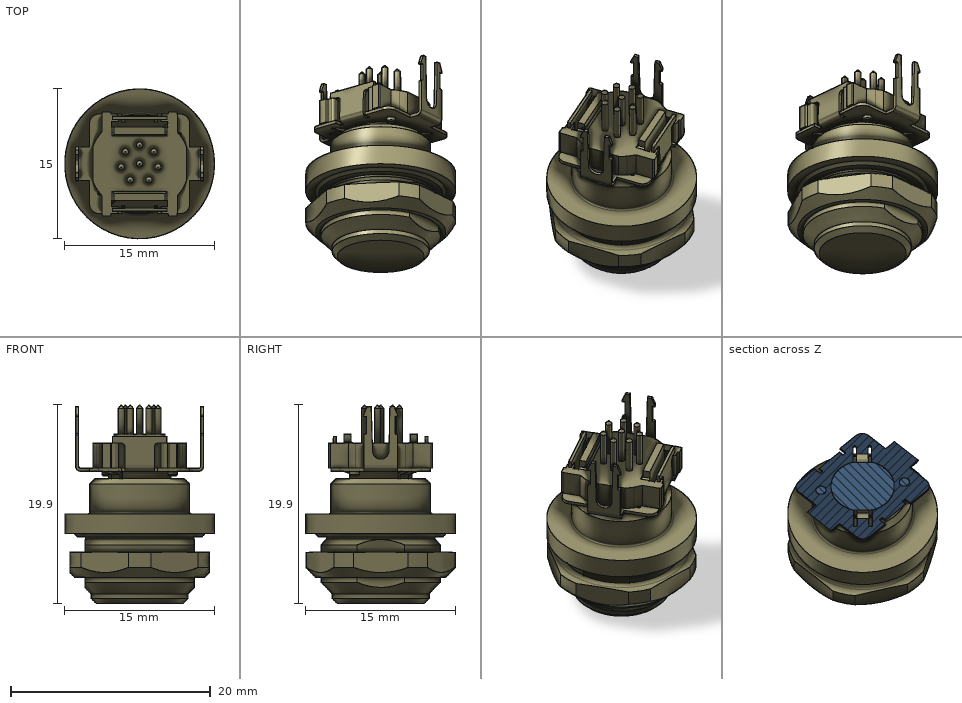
import cadquery as cq
import math

NOSE_CHAMFER_Z = 0.52
NOSE_Z = 0.97
THREAD_START_Z = 2.12
NUT_BOTTOM_Z = 2.62
NUT_TOP_Z = 5.16
THREAD_END_Z = 5.85
RELIEF_Z = 6.45
LIP_Z = 6.67
FLANGE_BOTTOM_Z = 6.99
FLANGE_TOP_Z = 8.97
HOUSING_TOP_Z = 12.5
PLATE_BOTTOM_Z = 13.22
SHEET = 0.32
PLATE_TOP_Z = PLATE_BOTTOM_Z + SHEET
BLOCK_TOP_Z = 16.04
TAB_TOP_Z = 19.7
PIN_TOP_Z = 19.85

FLANGE_R = 7.5
LIP_R = 6.55
LIP_CHAMFER = FLANGE_BOTTOM_Z - LIP_Z
RELIEF_R = 5.44
THREAD_R = 5.97
THREAD_FLAT_X = 5.48
NOSE_R = 4.86
BARREL_R = 5.0
BARREL_CHAMFER = 0.54
BARREL_FILLET = 0.18
CORE_R = 3.14
ARM_BORE_R = 3.45
ARM_BORE_Z = 10.52

NUT_ACROSS_FLATS = 13.97
NUT_R = FLANGE_R
NUT_CHAMFER = 1.0
NUT_FACE_R = 6.75
NUT_FACE_DROP = 0.05

PLATE_X = 5.0
PLATE_Y = 4.98
PLATE_CORNER_R = 0.91
BEND_R = 0.22
OUTER_BEND_R = BEND_R + SHEET
TAB_X = 6.41
TAB_HALF_WIDTH = 1.69
TAB_SLOT_R = 0.81
TAB_SLOT_Z = 15.26
TAB_SLOT_TOP_HALF = 0.93
TAB_WAIST = 1.4
TAB_SHOULDER_Z = 16.87
TAB_BARB_Z = 18.72
TAB_BARB_HALF = 1.7
TAB_TIP_HALF = 1.37
STRIP_Y = 4.85
STRIP_LEAN = 2.0
STRIP_NOTCH_Y = 4.19
STRIP_HALF_WIDTH = 1.47
STRIP_NOTCH_HALF = 1.8
STRIP_HEAD_HALF = 2.72
STRIP_TOP_Z = 16.73
STRIP_FILLET = 0.38
ARM_HALF_WIDTH = 0.6
ARM_WINDOW_HALF = 0.91
ARM_ROOT_R = 4.92
ARM_BEND_START_R = 4.66
ARM_INNER_R = 3.04
ARM_SLOPE = 0.25
ARM_BOTTOM_Z = 10.72
ARM_FILLET = 0.18
ARM_ANGLES = (45, 225)

BLOCK_X = 4.68
BLOCK_CURVE_R = 4.98
BLOCK_END_X = 3.77
BLOCK_END_Y = 5.2
BLOCK_CORNER_X = 0.05
BLOCK_CORNER_Y = 0.18
BLOCK_STEP_X = 2.8
BLOCK_STEP_Y = 4.98
BLOCK_STEP_CHAMFER = 0.14
SHOULDER_Y = 3.24
CURVE_END_Y = 2.5
POCKET_HALF = 2.12
POCKET_Y = 4.25
POCKET_MOUTH_R = 0.24
BAR_HALF = 2.55
BAR_Y = 2.95
BAR_BACK_Y = 3.67
BAR_TOP_Z = 16.95
BAR_FOOT = 0.2
BAR_FOOT_HEIGHT = 0.14
FOOT_EDGE = 0.002
PEG_X = 3.3
PEG_Y = -2.62
PEG_R = 0.48
PEG_BOTTOM_Z = 12.78
PEG_CHAMFER = 0.12

PIN_R = 0.32
PIN_CIRCLE_R = 1.87
PINS_PER_SIDE = 3
PIN_PITCH_ANGLE = 50.0
PIN_TIP = 0.32
PIN_POINT_R = 0.02


def box(x_min, x_max, y_min, y_max, z_min, z_max):
    """Box given by its limits along each axis."""
    return cq.Workplane("XY").box(
        x_max - x_min, y_max - y_min, z_max - z_min, centered=False
    ).translate((x_min, y_min, z_min))


def cylinder(radius, z_min, z_max):
    """Cylinder on the connector axis."""
    return cq.Workplane("XY").workplane(offset=z_min).circle(radius).extrude(z_max - z_min)


def both_ways(shape):
    """The shape and its copy turned half a turn about Z."""
    return (shape, shape.rotate((0, 0, 0), (0, 0, 1), 180))


def make_housing():
    """Turned barrel with flange, flatted thread and a stepped bore for the insert."""
    barrel_edge_r = BARREL_R + BARREL_FILLET
    profile = (
        cq.Workplane("XZ")
        .moveTo(0, 0)
        .lineTo(NOSE_R - NOSE_CHAMFER_Z, 0)
        .lineTo(NOSE_R, NOSE_CHAMFER_Z)
        .lineTo(NOSE_R, NOSE_Z)
        .lineTo(THREAD_R, THREAD_START_Z)
        .lineTo(THREAD_R, THREAD_END_Z)
        .lineTo(RELIEF_R, RELIEF_Z)
        .lineTo(RELIEF_R, LIP_Z)
        .lineTo(LIP_R - LIP_CHAMFER, LIP_Z)
        .lineTo(LIP_R, FLANGE_BOTTOM_Z)
        .lineTo(FLANGE_R, FLANGE_BOTTOM_Z)
        .lineTo(FLANGE_R, FLANGE_TOP_Z)
        .lineTo(barrel_edge_r, FLANGE_TOP_Z)
        .radiusArc((BARREL_R, FLANGE_TOP_Z + BARREL_FILLET), BARREL_FILLET)
        .lineTo(BARREL_R, HOUSING_TOP_Z - BARREL_CHAMFER)
        .lineTo(BARREL_R - BARREL_CHAMFER, HOUSING_TOP_Z)
        .lineTo(0, HOUSING_TOP_Z)
        .close()
    )
    body = profile.revolve(360, (0, 0, 0), (0, 1, 0))
    flat_cutter = box(THREAD_FLAT_X, FLANGE_R, -FLANGE_R, FLANGE_R, NOSE_Z, LIP_Z)
    for cutter in both_ways(flat_cutter):
        body = body.cut(cutter)
    body = body.cut(cylinder(CORE_R, FLANGE_TOP_Z, HOUSING_TOP_Z))
    return body.cut(cylinder(ARM_BORE_R, ARM_BORE_Z, HOUSING_TOP_Z))


def make_nut():
    """Hexagon nut with two flats across X and chamfered corners."""
    turned = (
        cq.Workplane("XZ")
        .moveTo(THREAD_R, NUT_BOTTOM_Z)
        .lineTo(NUT_R - NUT_CHAMFER, NUT_BOTTOM_Z)
        .lineTo(NUT_R, NUT_BOTTOM_Z + NUT_CHAMFER)
        .lineTo(NUT_R, NUT_TOP_Z - NUT_FACE_DROP)
        .lineTo(NUT_FACE_R, NUT_TOP_Z)
        .lineTo(THREAD_R, NUT_TOP_Z)
        .close()
        .revolve(360, (0, 0, 0), (0, 1, 0))
    )
    across_corners = NUT_ACROSS_FLATS / math.cos(math.pi / 6)
    hexagon = (
        cq.Workplane("XY")
        .polygon(6, across_corners)
        .extrude(NUT_TOP_Z)
        .rotate((0, 0, 0), (0, 0, 1), 30)
    )
    return turned.intersect(hexagon)


def bent_sheet(start, outer, top_z, half_width, lean=0.0):
    """Sheet running along +X from start, bent upwards at X = outer and leaning back by an angle."""
    bend_x = outer - OUTER_BEND_R
    bend_z = PLATE_BOTTOM_Z + OUTER_BEND_R
    lean_cos = math.cos(math.radians(lean))
    lean_sin = math.sin(math.radians(lean))
    length = (top_z - bend_z) / lean_cos

    def upright_point(radius, distance):
        """Point at a distance up the leaning part, on the face that has this bend radius."""
        return (
            bend_x + radius * lean_cos - distance * lean_sin,
            bend_z + radius * lean_sin + distance * lean_cos,
        )

    return (
        cq.Workplane("XZ")
        .moveTo(start, PLATE_BOTTOM_Z)
        .lineTo(bend_x, PLATE_BOTTOM_Z)
        .radiusArc(upright_point(OUTER_BEND_R, 0), -OUTER_BEND_R)
        .lineTo(*upright_point(OUTER_BEND_R, length))
        .lineTo(*upright_point(BEND_R, length))
        .lineTo(*upright_point(BEND_R, 0))
        .radiusArc((bend_x, PLATE_TOP_Z), BEND_R)
        .lineTo(start, PLATE_TOP_Z)
        .close()
        .extrude(half_width, both=True)
    )


def make_tab():
    """Solder tab on the +X side: two barbed prongs either side of a U slot."""
    slot_edge = TAB_HALF_WIDTH - TAB_WAIST
    prong_outline = [
        (TAB_HALF_WIDTH, PLATE_BOTTOM_Z),
        (TAB_HALF_WIDTH, TAB_SHOULDER_Z),
        (TAB_WAIST, TAB_SHOULDER_Z + slot_edge / 2),
        (TAB_WAIST, TAB_BARB_Z),
        (TAB_BARB_HALF, TAB_BARB_Z),
        (TAB_BARB_HALF, TAB_BARB_Z + SHEET / 2),
        (TAB_TIP_HALF, TAB_TOP_Z),
    ]
    mirrored = [(-y, z) for y, z in reversed(prong_outline)]
    outline = cq.Workplane("YZ").polyline(prong_outline + mirrored).close().extrude(TAB_X)
    slot = (
        cq.Workplane("YZ")
        .moveTo(-TAB_SLOT_R, TAB_SLOT_Z)
        .threePointArc((0, TAB_SLOT_Z - TAB_SLOT_R), (TAB_SLOT_R, TAB_SLOT_Z))
        .lineTo(TAB_SLOT_TOP_HALF, TAB_TOP_Z)
        .lineTo(-TAB_SLOT_TOP_HALF, TAB_TOP_Z)
        .close()
        .extrude(TAB_X)
    )
    tab = bent_sheet(PLATE_X - SHEET, TAB_X, TAB_TOP_Z, TAB_BARB_HALF)
    return tab.intersect(outline).cut(slot)


def make_strip():
    """Upright strip on the +Y side, with a wider head resting on the insert."""
    start = STRIP_NOTCH_Y - SHEET
    sheet = bent_sheet(start, STRIP_Y, STRIP_TOP_Z, STRIP_HEAD_HALF, STRIP_LEAN)
    fillet_x = STRIP_HALF_WIDTH + STRIP_FILLET
    fillet_z = BLOCK_TOP_Z - STRIP_FILLET
    outline = (
        cq.Workplane("YZ")
        .moveTo(STRIP_HALF_WIDTH, PLATE_BOTTOM_Z)
        .lineTo(STRIP_HALF_WIDTH, fillet_z)
        .radiusArc((fillet_x, BLOCK_TOP_Z), STRIP_FILLET)
        .lineTo(STRIP_HEAD_HALF, BLOCK_TOP_Z)
        .lineTo(STRIP_HEAD_HALF, STRIP_TOP_Z)
        .lineTo(-STRIP_HEAD_HALF, STRIP_TOP_Z)
        .lineTo(-STRIP_HEAD_HALF, BLOCK_TOP_Z)
        .lineTo(-fillet_x, BLOCK_TOP_Z)
        .radiusArc((-STRIP_HALF_WIDTH, fillet_z), STRIP_FILLET)
        .lineTo(-STRIP_HALF_WIDTH, PLATE_BOTTOM_Z)
        .close()
        .extrude(STRIP_Y)
    )
    return sheet.intersect(outline).rotate((0, 0, 0), (0, 0, 1), 90)


def make_arm():
    """Spring arm along +X, sloping down towards the axis and turned down into the bore."""
    outer_r = ARM_INNER_R + SHEET
    outer_bend_z = PLATE_BOTTOM_Z - ARM_SLOPE * (ARM_BEND_START_R - outer_r)
    inner_bend_z = PLATE_TOP_Z - ARM_SLOPE * (ARM_BEND_START_R - ARM_INNER_R)
    outline = [
        (ARM_ROOT_R, PLATE_BOTTOM_Z),
        (ARM_BEND_START_R, PLATE_BOTTOM_Z),
        (outer_r, outer_bend_z),
        (outer_r, ARM_BOTTOM_Z),
        (ARM_INNER_R, ARM_BOTTOM_Z),
        (ARM_INNER_R, inner_bend_z),
        (ARM_BEND_START_R, PLATE_TOP_Z),
        (ARM_ROOT_R, PLATE_TOP_Z),
    ]
    arm = cq.Workplane("XZ").polyline(outline).close().extrude(ARM_HALF_WIDTH, both=True)
    arm = arm.edges(cq.NearestToPointSelector((outer_r, 0, outer_bend_z))).fillet(ARM_FILLET)
    inner_edge = cq.NearestToPointSelector((ARM_INNER_R, 0, inner_bend_z))
    return arm.edges(inner_edge).fillet(ARM_FILLET + SHEET)


def make_arm_window():
    """Opening for an arm along +X, with rounded relief ends beside the arm root."""
    window = box(0, ARM_ROOT_R, -ARM_WINDOW_HALF, ARM_WINDOW_HALF, PLATE_BOTTOM_Z, PLATE_TOP_Z)
    relief_r = (ARM_WINDOW_HALF - ARM_HALF_WIDTH) / 2
    relief_y = ARM_WINDOW_HALF - relief_r
    reliefs = (
        cq.Workplane("XY", origin=(0, 0, PLATE_BOTTOM_Z))
        .pushPoints([(ARM_ROOT_R, relief_y), (ARM_ROOT_R, -relief_y)])
        .circle(relief_r)
        .extrude(SHEET)
    )
    return window.union(reliefs)


def make_clip():
    """Sheet metal clip: plate, two solder tabs, two upright strips and two spring arms."""
    plate = box(-PLATE_X, PLATE_X, -PLATE_Y, PLATE_Y, PLATE_BOTTOM_Z, PLATE_TOP_Z)
    plate = plate.edges("|Z").fillet(PLATE_CORNER_R)
    plate = plate.cut(cylinder(CORE_R, PLATE_BOTTOM_Z, PLATE_TOP_Z))
    notch = box(
        -STRIP_NOTCH_HALF, STRIP_NOTCH_HALF,
        STRIP_NOTCH_Y, PLATE_Y, PLATE_BOTTOM_Z, PLATE_TOP_Z,
    )
    for cutter in both_ways(notch):
        plate = plate.cut(cutter)
    peg_hole = cylinder(PEG_R, PLATE_BOTTOM_Z, PLATE_TOP_Z).translate((PEG_X, PEG_Y, 0))
    for cutter in both_ways(peg_hole):
        plate = plate.cut(cutter)
    for angle in ARM_ANGLES:
        plate = plate.cut(make_arm_window().rotate((0, 0, 0), (0, 0, 1), angle))
    clip = plate
    for angle in ARM_ANGLES:
        clip = clip.union(make_arm().rotate((0, 0, 0), (0, 0, 1), angle))
    for tab in both_ways(make_tab()):
        clip = clip.union(tab)
    for strip in both_ways(make_strip()):
        clip = clip.union(strip)
    return clip


def make_block():
    """Insert head: curved sides, square ends and pockets around the upright strips."""
    curve_start_y = math.sqrt(BLOCK_CURVE_R**2 - BLOCK_X**2)
    curve_end_x = math.sqrt(BLOCK_CURVE_R**2 - CURVE_END_Y**2)
    height = BLOCK_TOP_Z - PLATE_TOP_Z
    block = (
        cq.Workplane("XY", origin=(0, 0, PLATE_TOP_Z))
        .moveTo(BLOCK_X, -curve_start_y)
        .lineTo(BLOCK_X, curve_start_y)
        .radiusArc((curve_end_x, CURVE_END_Y), -BLOCK_CURVE_R)
        .lineTo(BLOCK_END_X, SHOULDER_Y)
        .lineTo(-BLOCK_END_X, SHOULDER_Y)
        .lineTo(-curve_end_x, CURVE_END_Y)
        .radiusArc((-BLOCK_X, curve_start_y), -BLOCK_CURVE_R)
        .lineTo(-BLOCK_X, -curve_start_y)
        .radiusArc((-curve_end_x, -CURVE_END_Y), -BLOCK_CURVE_R)
        .lineTo(-BLOCK_END_X, -SHOULDER_Y)
        .lineTo(BLOCK_END_X, -SHOULDER_Y)
        .lineTo(curve_end_x, -CURVE_END_Y)
        .radiusArc((BLOCK_X, -curve_start_y), -BLOCK_CURVE_R)
        .close()
        .extrude(height)
    )
    mouth_x = POCKET_HALF + POCKET_MOUTH_R
    mouth_y = BLOCK_STEP_Y - POCKET_MOUTH_R
    end = (
        cq.Workplane("XY", origin=(0, 0, PLATE_TOP_Z))
        .moveTo(BLOCK_END_X, 0)
        .lineTo(BLOCK_END_X, BLOCK_END_Y - BLOCK_CORNER_Y)
        .lineTo(BLOCK_END_X - BLOCK_CORNER_X, BLOCK_END_Y)
        .lineTo(BLOCK_STEP_X + BLOCK_STEP_CHAMFER, BLOCK_END_Y)
        .lineTo(BLOCK_STEP_X, BLOCK_STEP_Y)
        .lineTo(mouth_x, BLOCK_STEP_Y)
        .radiusArc((POCKET_HALF, mouth_y), -POCKET_MOUTH_R)
        .lineTo(POCKET_HALF, POCKET_Y)
        .lineTo(BLOCK_STEP_X, POCKET_Y)
        .lineTo(BLOCK_STEP_X, BAR_BACK_Y)
        .lineTo(0, BAR_BACK_Y)
        .lineTo(0, 0)
        .close()
        .extrude(height)
    )
    end = end.union(end.mirror("YZ"))
    for half in both_ways(end):
        block = block.union(half)
    return block


def make_bar():
    """Raised bar on the +Y side of the insert head, flared at its foot on three sides."""
    foot_top_z = BLOCK_TOP_Z + BAR_FOOT_HEIGHT
    bar = box(-BAR_HALF, BAR_HALF, BAR_Y, BAR_BACK_Y, BLOCK_TOP_Z, BAR_TOP_Z)
    foot_half = BAR_HALF + BAR_FOOT
    foot = box(-foot_half, foot_half, BAR_Y - BAR_FOOT, BAR_BACK_Y, BLOCK_TOP_Z, foot_top_z)
    sloped_edges = foot.faces(">Z").edges("<X or >X or <Y")
    return bar.union(sloped_edges.chamfer(BAR_FOOT_HEIGHT - FOOT_EDGE, BAR_FOOT - FOOT_EDGE))


def make_pin():
    """Pointed contact pin standing on the insert head."""
    shank_top_z = PIN_TOP_Z - PIN_TIP
    return (
        cq.Workplane("XZ")
        .moveTo(0, PLATE_TOP_Z)
        .lineTo(PIN_R, PLATE_TOP_Z)
        .lineTo(PIN_R, shank_top_z)
        .lineTo(PIN_POINT_R, PIN_TOP_Z)
        .lineTo(0, PIN_TOP_Z)
        .close()
        .revolve(360, (0, 0, 0), (0, 1, 0))
    )


def make_insert():
    """Contact insert: core, head, bars, locating pegs and the contact pins."""
    core = cylinder(CORE_R, FLANGE_TOP_Z, PLATE_TOP_Z)
    arm_flat = box(
        ARM_INNER_R, ARM_BORE_R, -ARM_HALF_WIDTH, ARM_HALF_WIDTH, ARM_BORE_Z, PLATE_TOP_Z
    )
    for angle in ARM_ANGLES:
        core = core.cut(arm_flat.rotate((0, 0, 0), (0, 0, 1), angle))
    insert = core.union(make_block())
    peg = cylinder(PEG_R, PEG_BOTTOM_Z, PLATE_TOP_Z).faces("<Z").chamfer(PEG_CHAMFER)
    for part in both_ways(peg.translate((PEG_X, PEG_Y, 0))) + both_ways(make_bar()):
        insert = insert.union(part)
    insert = insert.union(make_pin())
    ring_pin = make_pin().translate((0, PIN_CIRCLE_R, 0))
    for index in range(-PINS_PER_SIDE, PINS_PER_SIDE + 1):
        angle = PIN_PITCH_ANGLE * index
        insert = insert.union(ring_pin.rotate((0, 0, 0), (0, 0, 1), angle))
    return insert


housing = make_housing()
nut = make_nut()
clip = make_clip()
insert = make_insert()

bodies = [housing, nut, clip, insert]
result = cq.Compound.makeCompound([body.solids().val() for body in bodies])